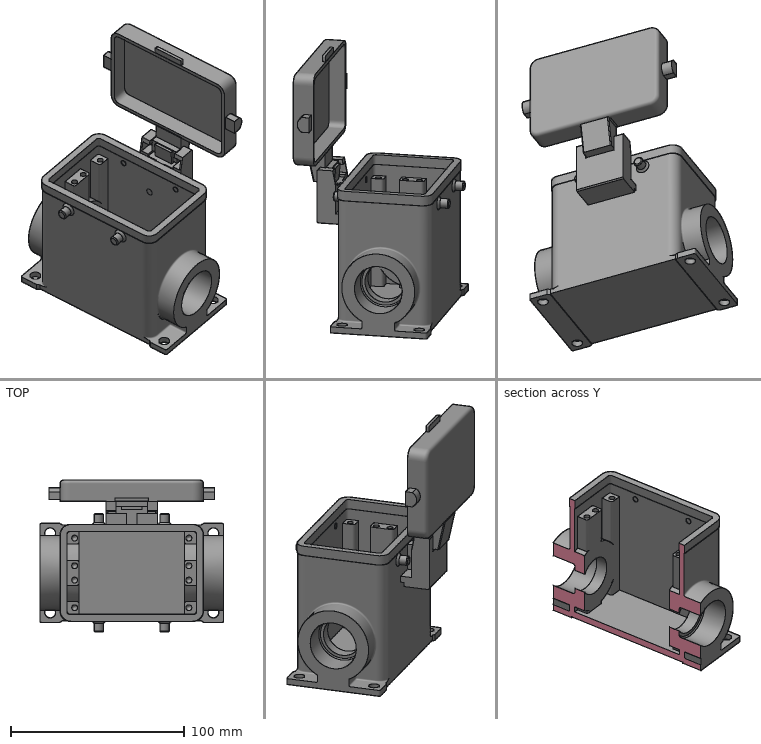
import cadquery as cq
import math

HOUSING_LENGTH = 82.1
HOUSING_DEPTH = 55.5
RIM_OVERHANG = 0.3
HOUSING_BOTTOM = 0.6
HOUSING_TOP = 82.1
RIM_HEIGHT = 5.8
HOUSING_CORNER = 6.0
CAVITY_LENGTH = 74.7
CAVITY_DEPTH = 47.8
CAVITY_CORNER = 1.5
CAVITY_LIP = 0.2
FLOOR_THICKNESS = 4.6

FOOT_END = 53.0
FOOT_DEPTH = 57.3
FOOT_TOP = 3.7
FOOT_CORNER = 1.0
FOOT_NECK_START = 41.7
FOOT_NECK_END = 40.0
FOOT_HOLE_X = 47.0
FOOT_HOLE_Y = 22.8
FOOT_HOLE_RADIUS = 3.0

COLLAR_HEIGHT = 27.5
COLLAR_RADIUS = 21.6
COLLAR_WEB_WIDTH = 19.3
WALL_FILLET = 0.9
SLAB_MARGIN = 7.7
SELECTION_MARGIN = 0.2
BORE_RADIUS = 14.1
BORE_END = 37.5
BORE_CHAMFER = 0.8
PASSAGE_RADIUS = 11.5

POST_FACE = 30.3
POST_TOP = 69.7
CORNER_POST_START = 16.5
MIDDLE_POST_WIDTH = 14.4
POST_FILLET = 1.4
SCREW_X = 33.0
OUTER_SCREW_Y = 20.0
INNER_SCREW_Y = 4.1
SCREW_RADIUS = 1.7
SCREW_DEPTH = 15.3
DRILL_TIP_ANGLE = 118
SCREW_TIP_LENGTH = SCREW_RADIUS / math.tan(math.radians(DRILL_TIP_ANGLE / 2))

PEG_X = 19.0
PEG_HEIGHT = 72.1
PEG_END = 34.2
PEG_RADIUS = 2.8
PEG_BASE_RADIUS = 4.0
PEG_BASE_LENGTH = 1.4
PEG_CHAMFER = 0.6
DIMPLE_RADIUS = 1.7
DIMPLE_DEPTH = 0.3
JOIN_DEPTH = 1.5

BRACKET_WIDTH = 29.7
BRACKET_BOTTOM = 54.2
BRACKET_TOP = 86.0
BRACKET_BACK = 45.3
BRACKET_FRONT = 34.3
BRACKET_TOP_FRONT = 36.0
BRACKET_SLOPE_BOTTOM = 77.2
BRACKET_CHAMFER = 0.8
BRACKET_FOOT_TOP = 60.3
BRACKET_FOOT_BOTTOM = 56.7
BRACKET_FOOT_STEP = 29.7
BRACKET_RIB_WIDTH = 6.1
SLOT_FLOOR = 75.8
CHEEK_WALL = 1.0
CHEEK_POCKET_TOP = 83.3
CHEEK_POCKET_BACK = 42.1
STUD_RADIUS = 2.0
STUD_HEIGHT = 60.3

LID_LENGTH = HOUSING_LENGTH + 2 * RIM_OVERHANG
LID_FRONT = 41.2
LID_BACK = 53.6
LID_BOTTOM = 94.6
LID_TOP = 149.6
LID_CORNER = 5.8
LID_WALL = 2.3
LID_PANEL = 2.8

TAB_WIDTH = 19.3
TAB_TOP = 153.2
TAB_FRONT = 41.4
TAB_BACK = 43.2
TAB_CORNER = 0.8

LUG_END = 47.8
LUG_FRONT = 42.3
LUG_SHOULDER = 46.5
LUG_BACK = 49.2
LUG_HEIGHT = 8.9

ARM_WIDTH = 18.0
ARM_FRONT = 41.8
ARM_FLARE = 0.8
ARM_BACK_INSET = 1.5
ARM_BACK_TOP = 52.7
ARM_BACK_BOTTOM = 48.9
ARM_BOTTOM = 77.2
ARM_TOE_TOP = 85.5
ARM_TOE_FRONT = 38.1
PAD_WIDTH = 12.0
PAD_TOP = 84.8
PAD_TOP_FRONT = 36.5
PAD_BOTTOM_FRONT = 37.0
ARM_CHAMFER = 0.6


def block(x0, x1, y0, y1, z0, z1):
    """A box given by its lowest and highest place along each axis."""
    return cq.Workplane("XY").box(x1 - x0, y1 - y0, z1 - z0, centered=False).translate((x0, y0, z0))


def centred_block(width, depth, z0, z1):
    return block(-width / 2, width / 2, -depth / 2, depth / 2, z0, z1)


def side_profile(points, width):
    """A closed outline of (y, z) points, extruded evenly to both sides of X = 0."""
    return cq.Workplane("YZ").polyline(points).close().extrude(width / 2, both=True)


def both_ends(shape):
    """The shape together with its mirror image across X = 0."""
    return shape.union(shape.mirror("YZ"))


def foot_column(top):
    """Footprint of the +X foot, narrowed to the housing depth where it joins, up to a height."""
    wide = FOOT_DEPTH / 2
    narrow = HOUSING_DEPTH / 2
    outline = [
        (FOOT_END, -wide),
        (FOOT_END, wide),
        (FOOT_NECK_START, wide),
        (FOOT_NECK_END, narrow),
        (FOOT_NECK_END, -narrow),
        (FOOT_NECK_START, -wide),
    ]
    plate = cq.Workplane("XY").polyline(outline).close().extrude(top)
    return plate.edges("|Z and >X").fillet(FOOT_CORNER)


def collar():
    """Round cable entry standing on its web, outside the +X wall."""
    start = HOUSING_LENGTH / 2
    length = FOOT_END - start
    ring = cq.Workplane("YZ", origin=(start, 0, COLLAR_HEIGHT)).circle(COLLAR_RADIUS).extrude(length)
    half_web = COLLAR_WEB_WIDTH / 2
    web = block(start, FOOT_END, -half_web, half_web, 0, COLLAR_HEIGHT)
    return ring.union(web)


def base_outside():
    """Walls and collars on a wide slab, filleted together and then trimmed to the footprint."""
    rim_bottom = HOUSING_TOP - RIM_HEIGHT
    walls = centred_block(HOUSING_LENGTH, HOUSING_DEPTH, FOOT_TOP, rim_bottom)
    walls = walls.edges("|Z").fillet(HOUSING_CORNER)
    slab = centred_block(2 * FOOT_END, FOOT_DEPTH + 2 * SLAB_MARGIN, 0, FOOT_TOP)
    base = walls.union(slab).union(both_ends(collar()))

    tolerance = SELECTION_MARGIN
    half_foot = FOOT_DEPTH / 2
    foot_edges = cq.selectors.BoxSelector(
        (-FOOT_END + tolerance, -half_foot, FOOT_TOP - tolerance),
        (FOOT_END - tolerance, half_foot, FOOT_TOP + tolerance),
    )
    wall = HOUSING_LENGTH / 2 + tolerance
    collar_edges = cq.selectors.BoxSelector(
        (-wall, -COLLAR_RADIUS, FOOT_TOP + tolerance),
        (wall, COLLAR_RADIUS, COLLAR_HEIGHT + COLLAR_RADIUS / 2),
    )
    base = base.edges(cq.selectors.SumSelector(foot_edges, collar_edges)).fillet(WALL_FILLET)

    trim_top = FOOT_TOP + WALL_FILLET
    sole = centred_block(2 * FOOT_NECK_END, HOUSING_DEPTH, HOUSING_BOTTOM, trim_top)
    footprint = sole.union(both_ends(foot_column(trim_top)))
    surroundings = centred_block(2 * FOOT_END, FOOT_DEPTH + 2 * SLAB_MARGIN, 0, trim_top)
    return base.cut(surroundings.cut(footprint))


def rim():
    bottom = HOUSING_TOP - RIM_HEIGHT
    length = HOUSING_LENGTH + 2 * RIM_OVERHANG
    depth = HOUSING_DEPTH + 2 * RIM_OVERHANG
    return centred_block(length, depth, bottom, HOUSING_TOP).edges("|Z").fillet(HOUSING_CORNER)


def foot_holes():
    places = [(x, y) for x in (-FOOT_HOLE_X, FOOT_HOLE_X) for y in (-FOOT_HOLE_Y, FOOT_HOLE_Y)]
    return cq.Workplane("XY").pushPoints(places).circle(FOOT_HOLE_RADIUS).extrude(FOOT_TOP)


def cavity():
    rim_bottom = HOUSING_TOP - RIM_HEIGHT
    floor = HOUSING_BOTTOM + FLOOR_THICKNESS
    room = centred_block(CAVITY_LENGTH, CAVITY_DEPTH, floor, rim_bottom)
    mouth = centred_block(
        CAVITY_LENGTH - 2 * CAVITY_LIP, CAVITY_DEPTH - 2 * CAVITY_LIP, rim_bottom, HOUSING_TOP
    )
    return room.edges("|Z").fillet(CAVITY_CORNER).union(mouth.edges("|Z").fillet(CAVITY_CORNER))


def posts():
    """Screw posts and the inner cable boss along the +X wall of the cavity."""
    wall = HOUSING_LENGTH / 2 - JOIN_DEPTH
    side = CAVITY_DEPTH / 2 + JOIN_DEPTH
    bottom = HOUSING_BOTTOM + FLOOR_THICKNESS / 2
    half_middle = MIDDLE_POST_WIDTH / 2
    spans = [(-side, -CORNER_POST_START), (-half_middle, half_middle), (CORNER_POST_START, side)]
    boss = cq.Workplane("YZ", origin=(POST_FACE, 0, COLLAR_HEIGHT)).circle(COLLAR_RADIUS)
    shape = boss.extrude(wall - POST_FACE)
    for y0, y1 in spans:
        post = block(POST_FACE, wall, y0, y1, bottom, POST_TOP)
        shape = shape.union(post.edges("|Z and <X").fillet(POST_FILLET))
    return shape


def screw_hole():
    """Blind hole on the Z axis with a conical drill tip, opening at the post top."""
    bottom = POST_TOP - SCREW_DEPTH
    outline = [
        (0, POST_TOP),
        (SCREW_RADIUS, POST_TOP),
        (SCREW_RADIUS, bottom),
        (0, bottom - SCREW_TIP_LENGTH),
    ]
    return cq.Workplane("XZ").polyline(outline).close().revolve(360, (0, 0, 0), (0, 1, 0))


def screw_holes():
    rows = (-OUTER_SCREW_Y, -INNER_SCREW_Y, INNER_SCREW_Y, OUTER_SCREW_Y)
    places = [(x, y, 0) for x in (-SCREW_X, SCREW_X) for y in rows]
    hole = screw_hole().val()
    return cq.Workplane("XY").pushPoints(places).eachpoint(lambda place: hole.moved(place))


def cable_passage():
    """Stepped bore through the collar, the wall and the boss at the +X end."""
    outline = [
        (POST_FACE, 0),
        (POST_FACE, PASSAGE_RADIUS),
        (BORE_END, PASSAGE_RADIUS),
        (BORE_END, BORE_RADIUS - BORE_CHAMFER),
        (BORE_END + BORE_CHAMFER, BORE_RADIUS),
        (FOOT_END, BORE_RADIUS),
        (FOOT_END, 0),
    ]
    bore = cq.Workplane("XZ").polyline(outline).close().revolve(360, (0, 0, 0), (1, 0, 0))
    return bore.translate((0, 0, COLLAR_HEIGHT))


def peg():
    """Latch peg on the +Y wall: a conical base, a round shaft and a chamfered end."""
    wall = HOUSING_DEPTH / 2
    outline = [
        (0, wall - JOIN_DEPTH),
        (PEG_BASE_RADIUS, wall - JOIN_DEPTH),
        (PEG_BASE_RADIUS, wall),
        (PEG_RADIUS, wall + PEG_BASE_LENGTH),
        (PEG_RADIUS, PEG_END - PEG_CHAMFER),
        (PEG_RADIUS - PEG_CHAMFER, PEG_END),
        (0, PEG_END),
    ]
    return cq.Workplane("XY").polyline(outline).close().revolve(360, (0, 0, 0), (0, 1, 0))


def peg_dimple():
    """Shallow round mark in the inner face behind a peg."""
    inner_face = cq.Workplane("XZ", origin=(0, CAVITY_DEPTH / 2, 0))
    return inner_face.circle(DIMPLE_RADIUS).extrude(-DIMPLE_DEPTH)


def stud():
    """Bracket stud that fills its hole in the +Y wall, flush with the inner face."""
    start = cq.Workplane("XZ", origin=(0, CAVITY_DEPTH / 2, STUD_HEIGHT))
    return start.circle(STUD_RADIUS).extrude(CAVITY_DEPTH / 2 - HOUSING_DEPTH / 2)


def make_housing():
    shape = base_outside().union(rim()).cut(cavity()).union(both_ends(posts()))
    shape = shape.cut(foot_holes()).cut(screw_holes()).cut(both_ends(cable_passage()))
    for x in (-PEG_X, PEG_X):
        for turn in (0, 180):
            one_peg = peg().translate((x, 0, PEG_HEIGHT)).rotate((0, 0, 0), (0, 0, 1), turn)
            dimple = peg_dimple().translate((x, 0, PEG_HEIGHT)).rotate((0, 0, 0), (0, 0, 1), turn)
            shape = shape.union(one_peg).cut(dimple)
    return shape.cut(stud())


def make_bracket():
    wall = HOUSING_DEPTH / 2
    half = BRACKET_WIDTH / 2
    outline = [
        (BRACKET_BACK, BRACKET_BOTTOM),
        (BRACKET_BACK, BRACKET_TOP),
        (BRACKET_TOP_FRONT, BRACKET_TOP),
        (BRACKET_FRONT, BRACKET_SLOPE_BOTTOM),
        (BRACKET_FRONT, BRACKET_FOOT_TOP),
        (wall, BRACKET_FOOT_TOP),
        (wall, BRACKET_FOOT_BOTTOM),
        (BRACKET_FOOT_STEP, BRACKET_FOOT_BOTTOM),
        (BRACKET_FOOT_STEP, BRACKET_BOTTOM),
    ]
    shape = side_profile(outline, BRACKET_WIDTH).edges("|X and >Y").chamfer(BRACKET_CHAMFER)
    half_rib = BRACKET_RIB_WIDTH / 2
    rib = block(-half_rib, half_rib, wall, BRACKET_FRONT, BRACKET_FOOT_TOP, SLOT_FLOOR)
    half_arm = ARM_WIDTH / 2
    slot = block(-half_arm, half_arm, wall, BRACKET_BACK, SLOT_FLOOR, BRACKET_TOP)
    pocket_reach = half - CHEEK_WALL
    pockets = block(
        -pocket_reach, pocket_reach, wall, CHEEK_POCKET_BACK, BRACKET_SLOPE_BOTTOM, CHEEK_POCKET_TOP
    )
    return shape.union(rib).cut(slot).cut(pockets).union(stud())


def tray():
    half = LID_LENGTH / 2
    outside = block(-half, half, LID_FRONT, LID_BACK, LID_BOTTOM, LID_TOP)
    outside = outside.edges("|Y").fillet(LID_CORNER).faces(">Y").edges().fillet(LID_WALL)
    inside = block(
        -half + LID_WALL,
        half - LID_WALL,
        LID_FRONT,
        LID_BACK - LID_PANEL,
        LID_BOTTOM + LID_WALL,
        LID_TOP - LID_WALL,
    )
    return outside.cut(inside.edges("|Y").fillet(LID_CORNER - LID_WALL))


def tab():
    half = TAB_WIDTH / 2
    shape = block(-half, half, TAB_FRONT, TAB_BACK, LID_TOP - LID_WALL, TAB_TOP)
    return shape.edges("|Y and >Z").fillet(TAB_CORNER)


def lug():
    """Latch lug on the +X side, flat in front and rounded at the back."""
    side = LID_LENGTH / 2 - LID_WALL
    half = LUG_HEIGHT / 2
    middle = (LID_BOTTOM + LID_TOP) / 2
    outline = (
        cq.Workplane("YZ", origin=(side, 0, middle))
        .moveTo(LUG_FRONT, -half)
        .lineTo(LUG_SHOULDER, -half)
        .threePointArc((LUG_BACK, 0), (LUG_SHOULDER, half))
        .lineTo(LUG_FRONT, half)
        .close()
    )
    return outline.extrude(LUG_END - side)


def arm():
    """Tapered hinge arm with a toe and a sloping pad inside the bracket slot."""
    top = LID_BOTTOM + LID_WALL / 2
    back = ARM_BACK_TOP - ARM_BACK_INSET
    outline = [
        (ARM_FRONT, top),
        (back, top),
        (ARM_BACK_TOP, LID_BOTTOM),
        (ARM_BACK_BOTTOM, ARM_BOTTOM),
        (ARM_TOE_FRONT, ARM_BOTTOM),
        (ARM_TOE_FRONT, ARM_TOE_TOP),
        (ARM_FRONT, ARM_TOE_TOP),
    ]
    pad = [
        (ARM_FRONT, SLOT_FLOOR),
        (PAD_BOTTOM_FRONT, SLOT_FLOOR),
        (PAD_TOP_FRONT, PAD_TOP),
        (ARM_FRONT, PAD_TOP),
    ]
    blade = side_profile(outline, ARM_WIDTH)
    half = ARM_WIDTH / 2
    back_middle = ((ARM_BACK_TOP + ARM_BACK_BOTTOM) / 2, (LID_BOTTOM + ARM_BOTTOM) / 2)
    for x in (-half, half):
        back_edge = blade.edges(cq.selectors.NearestToPointSelector((x, *back_middle)))
        blade = back_edge.chamfer(ARM_CHAMFER)
    flare_outline = [
        (-half, LID_BOTTOM - ARM_FLARE),
        (-half - ARM_FLARE, LID_BOTTOM),
        (-half - ARM_FLARE, top),
        (half + ARM_FLARE, top),
        (half + ARM_FLARE, LID_BOTTOM),
        (half, LID_BOTTOM - ARM_FLARE),
    ]
    flare = cq.Workplane("XZ", origin=(0, ARM_FRONT, 0)).polyline(flare_outline).close()
    flare = flare.extrude(ARM_FRONT - back)
    return blade.union(flare).union(side_profile(pad, PAD_WIDTH))


def make_lid():
    return tray().union(tab()).union(both_ends(lug())).union(arm())


housing = make_housing()
bracket = make_bracket()
lid = make_lid()
result = cq.Compound.makeCompound([*housing.solids().vals(), *bracket.solids().vals(), *lid.solids().vals()])